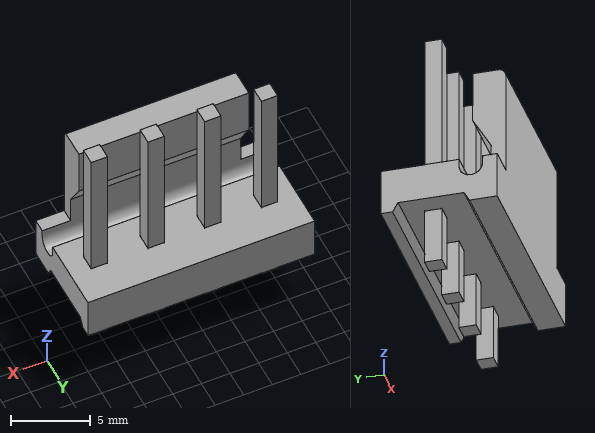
import cadquery as cq
import math

pin_count = 4
pitch = 3.96
pin_side = 1.14
pin_length = 16.51
pin_bottom = -3.19

base_length = pin_count * pitch
base_height = 3.17
front_y = -4.59
back_y = 3.04

recess_height = 0.63
foot_slope_run = 0.36
front_foot_width = 1.82
back_foot_width = 0.78

wall_length = 11.89
wall_top = 10.76
wall_thickness = 0.95
groove_width = 1.54
groove_bottom = 1.9
head_thickness = 2.16
head_slope_bottom = 5.18
head_slope_top = 7.23
wall_edge_radius = 0.5

groove_front_y = front_y + wall_thickness
groove_radius = groove_width / 2
groove_center_y = groove_front_y + groove_radius
groove_center_z = groove_bottom + groove_radius


def make_base():
    """Base strip with a groove along its top and a recess along its underside."""
    front_foot_y = front_y + front_foot_width
    back_foot_y = back_y - back_foot_width
    profile = (
        cq.Workplane("YZ", origin=(-base_length / 2, 0, 0))
        .moveTo(front_y, 0)
        .lineTo(front_foot_y, 0)
        .lineTo(front_foot_y + foot_slope_run, recess_height)
        .lineTo(back_foot_y - foot_slope_run, recess_height)
        .lineTo(back_foot_y, 0)
        .lineTo(back_y, 0)
        .lineTo(back_y, base_height)
        .lineTo(groove_front_y + groove_width, base_height)
        .lineTo(groove_front_y + groove_width, groove_center_z)
        .threePointArc((groove_center_y, groove_bottom), (groove_front_y, groove_center_z))
        .lineTo(groove_front_y, base_height)
        .lineTo(front_y, base_height)
        .close()
    )
    return profile.extrude(base_length)


def make_latch_wall():
    """Upright wall whose thicker head overhangs the groove."""
    head_back_y = front_y + head_thickness
    arc_center_y = front_y + wall_edge_radius
    arc_center_z = wall_top - wall_edge_radius
    arc_offset = wall_edge_radius * math.sqrt(0.5)
    profile = (
        cq.Workplane("YZ", origin=(-wall_length / 2, 0, 0))
        .moveTo(front_y, base_height)
        .lineTo(groove_front_y, base_height)
        .lineTo(groove_front_y, head_slope_bottom)
        .lineTo(head_back_y, head_slope_top)
        .lineTo(head_back_y, wall_top)
        .lineTo(arc_center_y, wall_top)
        .threePointArc(
            (arc_center_y - arc_offset, arc_center_z + arc_offset),
            (front_y, arc_center_z),
        )
        .close()
    )
    return profile.extrude(wall_length)


def make_pin(center_x):
    """Square pin passing through the base."""
    return (
        cq.Workplane("XY", origin=(center_x, 0, pin_bottom))
        .rect(pin_side, pin_side)
        .extrude(pin_length)
    )


first_pin_x = -(pin_count - 1) * pitch / 2
pins = [make_pin(first_pin_x + index * pitch) for index in range(pin_count)]

housing = make_base().union(make_latch_wall())
for pin in pins:
    housing = housing.cut(pin)

result = cq.Compound.makeCompound([housing.val(), *[pin.val() for pin in pins]])